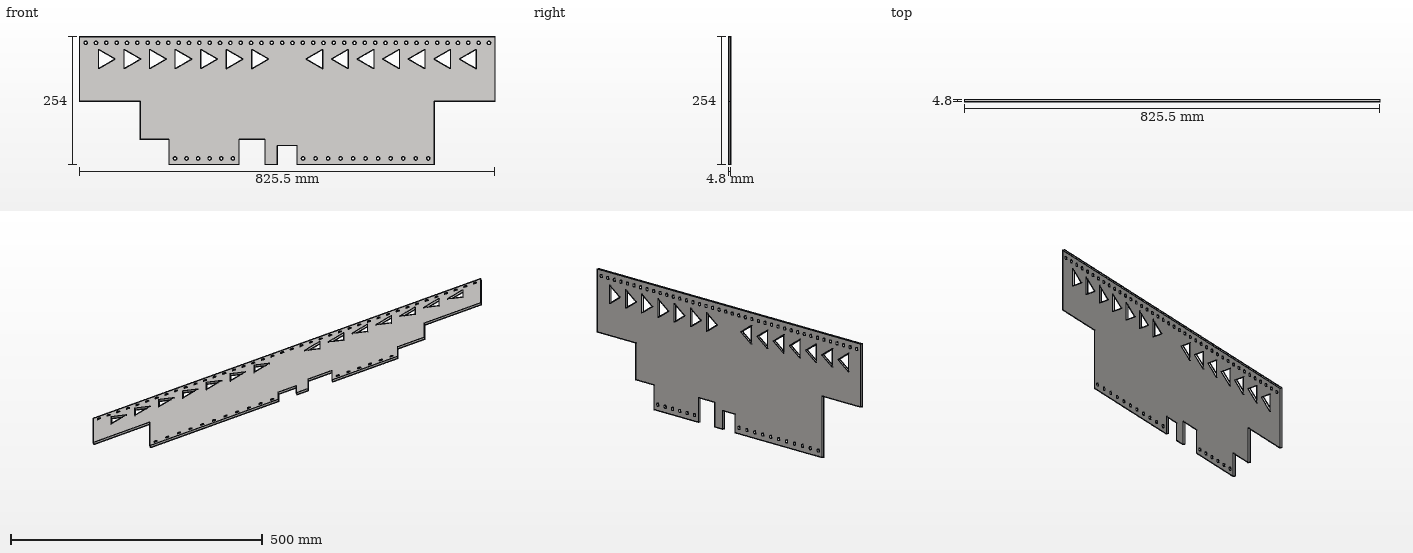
import cadquery as cq
import math

length = 825.5
thickness = 4.8
height = 254.0

shoulder_width = 120.5
shoulder_depth = 129.0
step_depth = 204.0
left_tab_start = 177.5
left_tab_end = 317.0
middle_tab_start = 368.0
middle_tab_end = 393.0
right_tab_start = 432.0
right_tab_end = length - shoulder_width
notch_depth = 216.0

hole_diameter = 6.35
hole_edge_distance = 12.0
top_hole_count = 40
left_tab_hole_count = 6
right_tab_hole_count = 11

window_count_per_side = 7
window_side = 38.0
window_width = window_side * math.sqrt(3) / 2
window_first_distance = 38.0
window_last_distance = 342.5
window_center_depth = 44.5

left_x = -length / 2
top_z = height / 2


def plate_point(distance, depth):
    """Point at a distance from the left end and a depth below the top edge."""
    return (left_x + distance, top_z - depth)


def through_prism(profile):
    """Extrude a profile through the full thickness of the plate."""
    return profile.extrude(thickness / 2, both=True)


def plate_body():
    outline = [
        plate_point(0, 0),
        plate_point(length, 0),
        plate_point(length, shoulder_depth),
        plate_point(right_tab_end, shoulder_depth),
        plate_point(right_tab_end, height),
        plate_point(right_tab_start, height),
        plate_point(right_tab_start, notch_depth),
        plate_point(middle_tab_end, notch_depth),
        plate_point(middle_tab_end, height),
        plate_point(middle_tab_start, height),
        plate_point(middle_tab_start, step_depth),
        plate_point(left_tab_end, step_depth),
        plate_point(left_tab_end, height),
        plate_point(left_tab_start, height),
        plate_point(left_tab_start, step_depth),
        plate_point(shoulder_width, step_depth),
        plate_point(shoulder_width, shoulder_depth),
        plate_point(0, shoulder_depth),
    ]
    return through_prism(cq.Workplane("XZ").polyline(outline).close())


def hole_row(edge_start, edge_end, depth, count):
    """Evenly spaced holes, with the end holes set in from both ends of an edge."""
    first = edge_start + hole_edge_distance
    last = edge_end - hole_edge_distance
    pitch = (last - first) / (count - 1)
    centers = [plate_point(first + i * pitch, depth) for i in range(count)]
    return through_prism(cq.Workplane("XZ").pushPoints(centers).circle(hole_diameter / 2))


def left_windows():
    pitch = (window_last_distance - window_first_distance) / (window_count_per_side - 1)
    cutters = cq.Workplane("XZ")
    for i in range(window_count_per_side):
        base = window_first_distance + i * pitch
        corners = [
            plate_point(base, window_center_depth - window_side / 2),
            plate_point(base, window_center_depth + window_side / 2),
            plate_point(base + window_width, window_center_depth),
        ]
        cutters = cutters.add(through_prism(cq.Workplane("XZ").polyline(corners).close()))
    return cutters.combine()


bottom_hole_depth = height - hole_edge_distance
windows = left_windows()

result = (
    plate_body()
    .cut(hole_row(0, length, hole_edge_distance, top_hole_count))
    .cut(hole_row(left_tab_start, left_tab_end, bottom_hole_depth, left_tab_hole_count))
    .cut(hole_row(right_tab_start, right_tab_end, bottom_hole_depth, right_tab_hole_count))
    .cut(windows)
    .cut(windows.mirror("YZ"))
)